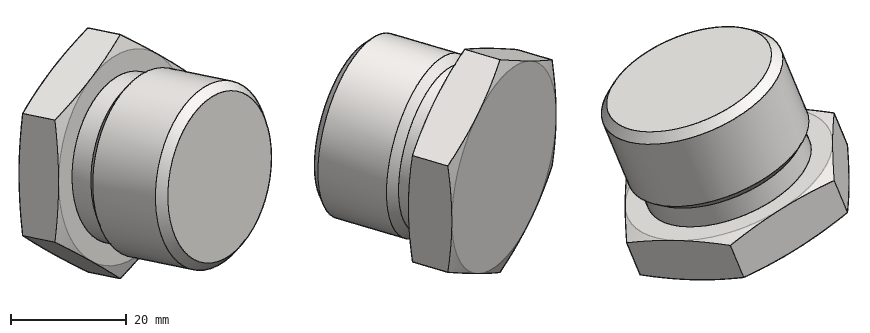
import cadquery as cq
import math

CORNER_WIDTH = 43.9
FLAT_WIDTH = CORNER_WIDTH * math.cos(math.radians(30))
HEAD_LENGTH = 8.5
HEAD_CHAMFER_ANGLE = 15.0

TOTAL_LENGTH = 29.05
NECK_LENGTH = 4.05
NECK_DIAMETER = 30.2
THREAD_DIAMETER = 33.25

corner_radius = CORNER_WIDTH / 2
flat_radius = FLAT_WIDTH / 2
neck_radius = NECK_DIAMETER / 2
thread_radius = THREAD_DIAMETER / 2


def revolve_about_x(profile):
    """Turn a closed (x, radius) profile about the X axis."""
    return cq.Workplane("XY").polyline(profile).close().revolve(360, (0, 0, 0), (1, 0, 0))


def make_head():
    """Hexagon whose corners are cut by a shallow cone on both faces."""
    hexagon = (
        cq.Workplane("YZ")
        .polygon(6, CORNER_WIDTH)
        .extrude(HEAD_LENGTH)
        .rotate((0, 0, 0), (1, 0, 0), 90)
    )
    corner_drop = (corner_radius - flat_radius) * math.tan(math.radians(HEAD_CHAMFER_ANGLE))
    envelope = revolve_about_x([
        (0, 0),
        (0, flat_radius),
        (corner_drop, corner_radius),
        (HEAD_LENGTH - corner_drop, corner_radius),
        (HEAD_LENGTH, flat_radius),
        (HEAD_LENGTH, 0),
    ])
    return hexagon.intersect(envelope)


def make_shank():
    """Neck and thread body, with 45 degree chamfers down to the neck diameter."""
    neck_end = HEAD_LENGTH + NECK_LENGTH
    chamfer = thread_radius - neck_radius
    return revolve_about_x([
        (HEAD_LENGTH, 0),
        (HEAD_LENGTH, neck_radius),
        (neck_end, neck_radius),
        (neck_end + chamfer, thread_radius),
        (TOTAL_LENGTH - chamfer, thread_radius),
        (TOTAL_LENGTH, neck_radius),
        (TOTAL_LENGTH, 0),
    ])


result = make_head().union(make_shank())